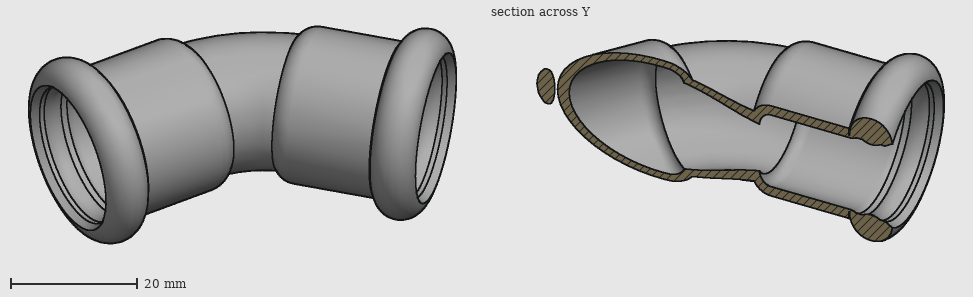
import cadquery as cq
import math

BEND_ANGLE = 45.0
BEND_RADIUS = 25.45
CORNER_TO_MOUTH = 31.8
WALL = 1.45
TUBE_RADIUS = 21.95 / 2
TUBE_BORE_RADIUS = TUBE_RADIUS - WALL

SOCKET_RADIUS = 25.3 / 2
SOCKET_BORE_RADIUS = 22.3 / 2
SOCKET_LENGTH = 24.05
SHOULDER_START = 21.05
BEAD_OUTER_RADIUS = 15.4
BEAD_ROUND = 3.75

MOUTH_RADIUS = 12.15
LIP_RADIUS = 22.9 / 2
LIP_START = 1.35
RIDGE_START = 2.15
RIDGE_END = 5.2
RIDGE_HEIGHT = 0.4
SEAT_END = 6.3
BORE_START = 7.3

neck_length = SOCKET_LENGTH - SHOULDER_START
neck_drop = SOCKET_RADIUS - TUBE_RADIUS
neck_round = (neck_length**2 + neck_drop**2) / (2 * neck_drop)
neck_center_radius = SOCKET_RADIUS - neck_round

inner_neck_round = SOCKET_BORE_RADIUS - neck_center_radius

step_length = BORE_START - SEAT_END
step_drop = LIP_RADIUS - SOCKET_BORE_RADIUS
step_round = (step_length**2 + step_drop**2) / (2 * step_drop)


def point_on_neck(arc_radius, end_radius, fraction):
    """Point at a fraction of the neck arc that runs down to end_radius."""
    sweep = math.acos((end_radius - neck_center_radius) / arc_radius)
    angle = fraction * sweep
    along = SHOULDER_START + arc_radius * math.sin(angle)
    return along, neck_center_radius + arc_radius * math.cos(angle)


def revolve_about_x(profile):
    return profile.close().revolve(360, (0, 0, 0), (1, 0, 0))


def socket_body():
    """Solid socket, mouth at x = 0, extending along +X."""
    bead_center_radius = BEAD_OUTER_RADIUS - BEAD_ROUND
    barrel = (
        cq.Workplane("XY")
        .lineTo(0, bead_center_radius)
        .threePointArc((BEAD_ROUND, BEAD_OUTER_RADIUS), (2 * BEAD_ROUND, bead_center_radius))
        .lineTo(2 * BEAD_ROUND, SOCKET_RADIUS)
        .lineTo(SHOULDER_START, SOCKET_RADIUS)
        .threePointArc(
            point_on_neck(neck_round, TUBE_RADIUS, 0.5),
            point_on_neck(neck_round, TUBE_RADIUS, 1),
        )
        .lineTo(SOCKET_LENGTH, 0)
    )
    return revolve_about_x(barrel)


def socket_bore():
    """Socket cavity with lead-in, grip ridge and rounded end."""
    ridge_crest = ((RIDGE_START + RIDGE_END) / 2, LIP_RADIUS - RIDGE_HEIGHT)
    cavity = (
        cq.Workplane("XY")
        .lineTo(0, MOUTH_RADIUS)
        .lineTo(LIP_START, LIP_RADIUS)
        .lineTo(RIDGE_START, LIP_RADIUS)
        .threePointArc(ridge_crest, (RIDGE_END, LIP_RADIUS))
        .lineTo(SEAT_END, LIP_RADIUS)
        .radiusArc((BORE_START, SOCKET_BORE_RADIUS), -step_round)
        .lineTo(SHOULDER_START, SOCKET_BORE_RADIUS)
        .threePointArc(
            point_on_neck(inner_neck_round, neck_center_radius, 0.5),
            point_on_neck(inner_neck_round, neck_center_radius, 1),
        )
        .lineTo(SHOULDER_START + inner_neck_round, 0)
    )
    return revolve_about_x(cavity)


def bend(radius):
    """Round bar tangent to both socket axes, which cross at the origin."""
    tangent_length = BEND_RADIUS * math.tan(math.radians(BEND_ANGLE / 2))
    return (
        cq.Workplane("YZ")
        .circle(radius)
        .revolve(BEND_ANGLE, (-BEND_RADIUS, 0, 0), (-BEND_RADIUS, 1, 0))
        .translate((tangent_length, 0, 0))
    )


def at_both_ends(socket):
    """Place a socket along +X and another at the far end of the bend."""
    straight = socket.rotate((0, 0, 0), (0, 0, 1), 180).translate((CORNER_TO_MOUTH, 0, 0))
    angled = socket.translate((-CORNER_TO_MOUTH, 0, 0)).rotate((0, 0, 0), (0, 0, 1), BEND_ANGLE)
    return straight, angled


outside = bend(TUBE_RADIUS)
for body in at_both_ends(socket_body()):
    outside = outside.union(body)

result = outside.cut(bend(TUBE_BORE_RADIUS))
for bore in at_both_ends(socket_bore()):
    result = result.cut(bore)